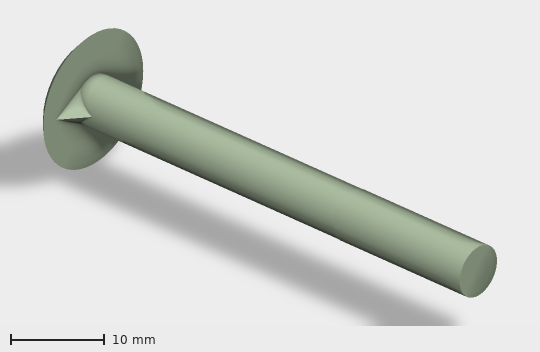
import cadquery as cq
import math

overall_length = 58.48
head_diameter = 16.06
head_height = 3.48
shank_diameter = 5.92
thread_diameter = 6.0
thread_length = 18.0

nib_reach = 5.9
nib_root_half_width = 2.25
nib_slope_angle = 39.5

shank_end = overall_length - head_height
head_radius = head_diameter / 2


def make_head():
    """Spherical cap with a flat underside, turned about the X axis."""
    dome_radius = (head_radius**2 + head_height**2) / (2 * head_height)
    mid_angle = math.asin(head_radius / dome_radius) / 2
    mid_x = dome_radius * (1 - math.cos(mid_angle)) - head_height
    mid_y = dome_radius * math.sin(mid_angle)
    profile = (
        cq.Workplane("XY")
        .moveTo(-head_height, 0)
        .threePointArc((mid_x, mid_y), (0, head_radius))
        .lineTo(0, 0)
        .close()
    )
    return profile.revolve(360, (0, 0, 0), (1, 0, 0))


def make_rod(start, end, diameter):
    """Round rod on the X axis between two X positions."""
    return cq.Workplane("YZ").workplane(offset=start).circle(diameter / 2).extrude(end - start)


def make_nib():
    """Four-faced wedge whose back face is buried in the shank."""
    root_depth = math.sqrt((shank_diameter / 2) ** 2 - nib_root_half_width**2)
    nib_length = (nib_reach - root_depth) * math.tan(math.radians(nib_slope_angle))
    corner = (0, -nib_reach, 0)
    upper_root = (0, -root_depth, nib_root_half_width)
    lower_root = (0, -root_depth, -nib_root_half_width)
    apex = (nib_length, -root_depth, 0)
    triangles = (
        (corner, upper_root, lower_root),
        (corner, upper_root, apex),
        (corner, lower_root, apex),
        (upper_root, lower_root, apex),
    )
    faces = []
    for triangle in triangles:
        points = [cq.Vector(*point) for point in triangle]
        outline = cq.Wire.makePolygon(points, close=True)
        faces.append(cq.Face.makeFromWires(outline))
    return cq.Workplane(cq.Solid.makeSolid(cq.Shell.makeShell(faces)))


thread_start = shank_end - thread_length
shank = make_rod(0, thread_start, shank_diameter)
threaded_end = make_rod(thread_start, shank_end, thread_diameter)

result = make_head().union(shank).union(threaded_end).union(make_nib())